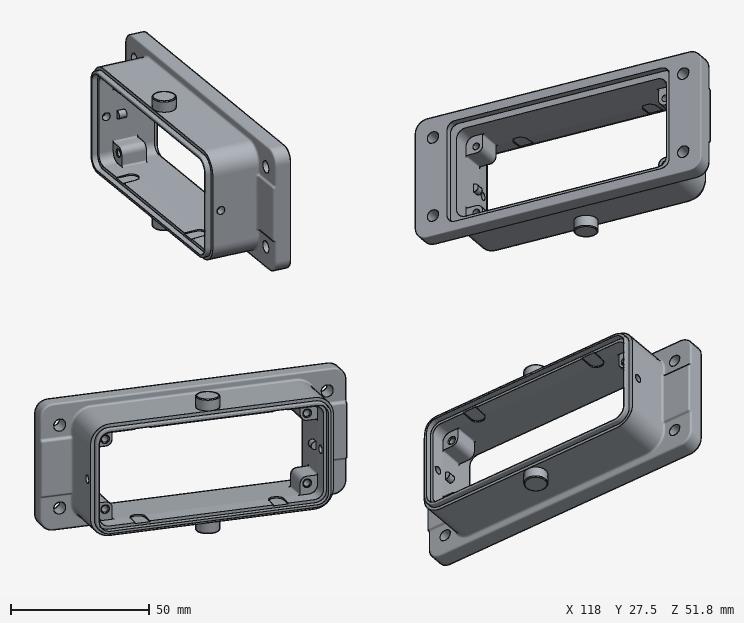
import cadquery as cq
import math


FLANGE_LENGTH = 118.0
FLANGE_HEIGHT = 48.6
FLANGE_DEPTH = 6.4
FLANGE_CORNER = 5.1
FLANGE_EDGE_ROUND = 0.7
BACK_EDGE_ROUND = 0.4
MOUNT_HOLE_DIAMETER = 4.6
MOUNT_HOLE_X = 51.6
MOUNT_HOLE_Z = 15.9

PAD_RISE = 1.0
PAD_DEPTH = FLANGE_DEPTH + PAD_RISE
PAD_SLOPE_WIDTH = 1.4
PAD_HALF_HEIGHT = 11.6
PAD_TOP_HALF = PAD_HALF_HEIGHT - PAD_SLOPE_WIDTH

BODY_LENGTH = 93.7
BODY_HEIGHT = 43.0
BODY_DEPTH = 25.5
BODY_CORNER = 7.4
BODY_ROOT_ROUND = 0.8
LIP_LENGTH = 90.6
LIP_HEIGHT = 40.4
LIP_CORNER = 5.4
TOTAL_DEPTH = 27.5
LIP_EDGE_ROUND = 0.4

RIM_WIDTH = 1.1
REBATE_DEPTH = 2.4
LEDGE_DEPTH = TOTAL_DEPTH - REBATE_DEPTH
PARTING_DEPTH = 19.5
OPENING_LENGTH = 85.9
OPENING_HEIGHT = 35.4
OPENING_CORNER = 3.4
BACK_DRAFT = 1.0
FRONT_DRAFT = 2.5
BACK_REBATE_DEPTH = 2.6
BACK_REBATE_WIDTH = 2.8

NOTCH_X = 26.7
NOTCH_WIDTH = 5.7
NOTCH_RISE = 0.6
NOTCH_END_DEPTH = 17.7

BOSS_INNER_X = 36.2
BOSS_INNER_Z = 10.7
BOSS_BACK_DEPTH = 9.4
BOSS_FRONT_DEPTH = PARTING_DEPTH
BOSS_MID_DEPTH = (BOSS_BACK_DEPTH + BOSS_FRONT_DEPTH) / 2
BOSS_WALL_OVERLAP = 1.2
BOSS_CORNER = 2.6
BOSS_ROOT_ROUND = 0.6
SCREW_X = 38.9
SCREW_Z = 13.5
SCREW_HOLE_DIAMETER = 2.6
SCREW_MOUTH_CHAMFER = 0.4

RIB_RADIUS = 1.5
RIB_TIP_X = 41.1
RIB_ROOT_LENGTH = 1.8
RIB_FRONT_DEPTH = 17.9
RIB_BACK_DEPTH = 14.9

PEG_DIAMETER = 8.7
PEG_DEPTH = 21.0
PEG_SPAN = 51.8
PEG_EDGE_CHAMFER = 0.4
SIDE_HOLE_DIAMETER = 3.1
SIDE_HOLE_DEPTH = 22.2

TOLERANCE = 0.01

SIGNS = (-1, 1)
CORNERS = [(x, z) for x in SIGNS for z in SIGNS]


def plane_at(depth):
    """Plane facing -Y, with its own x and y along X and Z."""
    return cq.Workplane("XZ", origin=(0, -depth, 0))


def rounded_block(length, height, corner, back, front):
    block = plane_at(back).rect(length, height).extrude(front - back)
    return block.edges("|Y").fillet(corner)


def cylinder_y(x, z, diameter, back, front):
    return plane_at(back).center(x, z).circle(diameter / 2).extrude(front - back)


def make_flange():
    """Square-edged flange with the pads, whose S-shaped slopes are two equal tangent arcs each."""
    base = rounded_block(FLANGE_LENGTH, FLANGE_HEIGHT, FLANGE_CORNER, 0, FLANGE_DEPTH)
    slope_radius = (PAD_RISE**2 + PAD_SLOPE_WIDTH**2) / (4 * PAD_RISE)
    slope_angle = math.asin(PAD_SLOPE_WIDTH / 2 / slope_radius)
    half_sag = slope_radius * (1 - math.cos(slope_angle / 2))
    half_run = slope_radius * math.sin(slope_angle / 2)
    mid_z = PAD_HALF_HEIGHT - PAD_SLOPE_WIDTH / 2
    mid_depth = FLANGE_DEPTH + PAD_RISE / 2
    foot = (-FLANGE_DEPTH, PAD_HALF_HEIGHT)
    foot_mid = (-FLANGE_DEPTH - half_sag, PAD_HALF_HEIGHT - half_run)
    crest_mid = (-PAD_DEPTH + half_sag, PAD_TOP_HALF + half_run)
    crest = (-PAD_DEPTH, PAD_TOP_HALF)

    def below(point):
        return (point[0], -point[1])

    pad_profile = (
        cq.Workplane("YZ")
        .moveTo(0, PAD_HALF_HEIGHT)
        .lineTo(*foot)
        .threePointArc(foot_mid, (-mid_depth, mid_z))
        .threePointArc(crest_mid, crest)
        .lineTo(*below(crest))
        .threePointArc(below(crest_mid), (-mid_depth, -mid_z))
        .threePointArc(below(foot_mid), below(foot))
        .lineTo(0, -PAD_HALF_HEIGHT)
        .close()
    )
    pads = pad_profile.extrude(FLANGE_LENGTH / 2, both=True)
    return base.union(pads)


def edges_between(solid, half_x, half_z):
    """Edges lying wholly between the flange face and the pad faces, within the given half widths."""
    low = (-half_x - TOLERANCE, -PAD_DEPTH - TOLERANCE, -half_z - TOLERANCE)
    high = (half_x + TOLERANCE, -FLANGE_DEPTH + TOLERANCE, half_z + TOLERANCE)
    return solid.edges(cq.selectors.BoxSelector(low, high, boundingbox=True))


def is_on_rim(edge):
    """True for the front edges along the outside of the flange, false for those across the pads."""
    runs_along_x = edge.BoundingBox().xlen > FLANGE_LENGTH / 2
    return not runs_along_x or abs(edge.Center().z) > PAD_HALF_HEIGHT + TOLERANCE


def make_outside():
    flange = make_flange()
    front_edges = edges_between(flange, FLANGE_LENGTH / 2, FLANGE_HEIGHT / 2)
    flange = front_edges.filter(is_on_rim).fillet(FLANGE_EDGE_ROUND)
    flange = flange.faces(">Y").edges().fillet(BACK_EDGE_ROUND)
    body = rounded_block(BODY_LENGTH, BODY_HEIGHT, BODY_CORNER, 0, BODY_DEPTH)
    joined = flange.union(body)
    joined = edges_between(joined, BODY_LENGTH / 2, BODY_HEIGHT / 2).fillet(BODY_ROOT_ROUND)
    lip = rounded_block(LIP_LENGTH, LIP_HEIGHT, LIP_CORNER, 0, TOTAL_DEPTH)
    lip = lip.faces("<Y").edges().fillet(LIP_EDGE_ROUND)
    return joined.union(lip)


def make_pegs():
    """Both pegs as one bar; the middle of it is removed with the opening."""
    bottom = cq.Workplane("XY", origin=(0, -PEG_DEPTH, -PEG_SPAN / 2))
    pegs = bottom.circle(PEG_DIAMETER / 2).extrude(PEG_SPAN)
    return pegs.faces("<Z or >Z").edges().chamfer(PEG_EDGE_CHAMFER)


def drafted_bore(start_depth, draft):
    """Bore from the parting depth to the start depth, widening toward the start."""
    outline = cq.Sketch().rect(OPENING_LENGTH, OPENING_HEIGHT).vertices().fillet(OPENING_CORNER)
    travel = start_depth - PARTING_DEPTH
    return plane_at(PARTING_DEPTH).placeSketch(outline).extrude(travel, taper=-draft)


def make_opening():
    rebate = rounded_block(
        LIP_LENGTH - 2 * RIM_WIDTH,
        LIP_HEIGHT - 2 * RIM_WIDTH,
        LIP_CORNER - RIM_WIDTH,
        LEDGE_DEPTH,
        TOTAL_DEPTH,
    )
    back_rebate = rounded_block(
        OPENING_LENGTH + 2 * BACK_REBATE_WIDTH,
        OPENING_HEIGHT + 2 * BACK_REBATE_WIDTH,
        OPENING_CORNER,
        0,
        BACK_REBATE_DEPTH,
    )
    walls = drafted_bore(0, BACK_DRAFT).union(drafted_bore(LEDGE_DEPTH, FRONT_DRAFT))
    opening = walls.union(rebate).union(back_rebate)
    half_height = OPENING_HEIGHT / 2 + NOTCH_RISE
    end_center = NOTCH_END_DEPTH + NOTCH_WIDTH / 2
    for side in SIGNS:
        notch = (
            cq.Workplane("XY", origin=(side * NOTCH_X, 0, -half_height))
            .moveTo(-NOTCH_WIDTH / 2, -LEDGE_DEPTH)
            .lineTo(-NOTCH_WIDTH / 2, -end_center)
            .threePointArc((0, -NOTCH_END_DEPTH), (NOTCH_WIDTH / 2, -end_center))
            .lineTo(NOTCH_WIDTH / 2, -LEDGE_DEPTH)
            .close()
            .extrude(2 * half_height)
        )
        opening = opening.union(notch)
    return opening


def make_boss(side_x, side_z):
    """Boss reaching into the corner walls, with its free edge rounded."""
    wall_x = OPENING_LENGTH / 2 + BOSS_WALL_OVERLAP
    wall_z = OPENING_HEIGHT / 2 + BOSS_WALL_OVERLAP
    boss = (
        plane_at(BOSS_BACK_DEPTH)
        .moveTo(side_x * (wall_x + BOSS_INNER_X) / 2, side_z * (wall_z + BOSS_INNER_Z) / 2)
        .rect(wall_x - BOSS_INNER_X, wall_z - BOSS_INNER_Z)
        .extrude(BOSS_FRONT_DEPTH - BOSS_BACK_DEPTH)
    )
    free_edge = (side_x * BOSS_INNER_X, -BOSS_MID_DEPTH, side_z * BOSS_INNER_Z)
    return boss.edges(cq.selectors.NearestToPointSelector(free_edge)).fillet(BOSS_CORNER)


def round_boss_roots(solid, side_x, side_z):
    """Hollow rounds where a boss meets the long and the short inner walls."""
    long_wall_root = (side_x * BOSS_INNER_X, -BOSS_MID_DEPTH, side_z * OPENING_HEIGHT / 2)
    short_wall_root = (side_x * OPENING_LENGTH / 2, -BOSS_MID_DEPTH, side_z * BOSS_INNER_Z)
    for root in (long_wall_root, short_wall_root):
        solid = solid.edges(cq.selectors.NearestToPointSelector(root)).fillet(BOSS_ROOT_ROUND)
    return solid


def make_rib(side_x):
    """Half-round rib standing on a short inner wall."""
    center_x = RIB_TIP_X + RIB_RADIUS
    rib_depth = RIB_FRONT_DEPTH - RIB_BACK_DEPTH
    nose = cylinder_y(side_x * center_x, 0, 2 * RIB_RADIUS, RIB_BACK_DEPTH, RIB_FRONT_DEPTH)
    root = (
        plane_at(RIB_BACK_DEPTH)
        .center(side_x * (center_x + RIB_ROOT_LENGTH / 2), 0)
        .rect(RIB_ROOT_LENGTH, 2 * RIB_RADIUS)
        .extrude(rib_depth)
    )
    return nose.union(root)


def make_screw_hole(x, z):
    """Through hole in a boss with a chamfered mouth."""
    hole = cylinder_y(x, z, SCREW_HOLE_DIAMETER, 0, TOTAL_DEPTH)
    mouth = cq.Solid.makeCone(
        SCREW_HOLE_DIAMETER / 2,
        SCREW_HOLE_DIAMETER / 2 + SCREW_MOUTH_CHAMFER,
        SCREW_MOUTH_CHAMFER,
        pnt=cq.Vector(x, -BOSS_FRONT_DEPTH + SCREW_MOUTH_CHAMFER, z),
        dir=cq.Vector(0, -1, 0),
    )
    return hole.union(cq.Workplane(mouth))


def make_mount_hole(x, z):
    return cylinder_y(x, z, MOUNT_HOLE_DIAMETER, 0, PAD_DEPTH)


def make_side_holes():
    """One bore along X through both short walls."""
    center = cq.Workplane("YZ", origin=(0, -SIDE_HOLE_DEPTH, 0))
    return center.circle(SIDE_HOLE_DIAMETER / 2).extrude(BODY_LENGTH / 2, both=True)


result = make_outside().union(make_pegs()).cut(make_opening())

for corner_x, corner_z in CORNERS:
    result = result.union(make_boss(corner_x, corner_z))
    result = round_boss_roots(result, corner_x, corner_z)
    result = result.cut(make_screw_hole(corner_x * SCREW_X, corner_z * SCREW_Z))
    result = result.cut(make_mount_hole(corner_x * MOUNT_HOLE_X, corner_z * MOUNT_HOLE_Z))

for side in SIGNS:
    result = result.union(make_rib(side))

result = result.cut(make_side_holes())